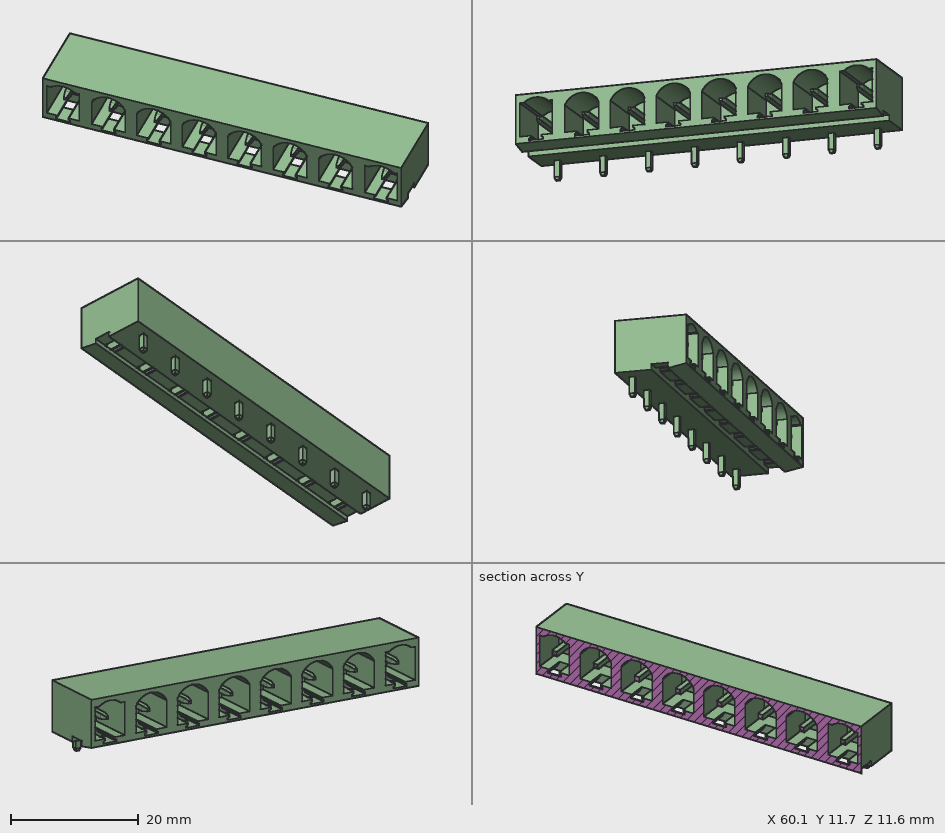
import cadquery as cq

LENGTH = 60.15
DEPTH = 11.7
HEIGHT = 8.5

POLES = 8
ROW_SPAN = 53.35
PITCH = ROW_SPAN / (POLES - 1)
POLE_X = [i * PITCH - ROW_SPAN / 2 for i in range(POLES)]

CHANNEL_FRONT = 3.0
CHANNEL_REAR = 5.7
CHANNEL_HEIGHT = 0.9
CHANNEL_TOP_Z = CHANNEL_HEIGHT - HEIGHT
LIP_RISE = 0.55

PIN_SIZE = 0.9
FRONT_TIP_LENGTH = 1.3
FRONT_TIP_INSET = 0.25
SOLDER_TIP_LENGTH = 0.5
SOLDER_TIP_INSET = 0.2
PIN_AXIS_Z = -3.8
PIN_AXIS_Y = 9.85
PIN_FRONT_Y = 0.85
PIN_BOTTOM_Z = -11.6

CAVITY_DEPTH = 8.4
CAVITY_HALF_WIDTH = 2.8
END_CAVITY_HALF_WIDTH = 2.7
CAVITY_FLOOR_Z = -6.85
ARCH_RADIUS = 3.1
END_CAVITY_SHOULDER_Z = -1.4

SLOT_TOP_WIDTH = 1.8
SLOT_BASE_WIDTH = 2.4
SLOT_NECK_HEIGHT = 0.25
SLOT_BASE_HEIGHT = 0.25


def block(x_min, x_max, z_min, z_max, depth):
    """Box that starts at the front face and reaches back by depth."""
    return (
        cq.Workplane("XY", origin=(x_min, 0, z_min))
        .box(x_max - x_min, depth, z_max - z_min, centered=False)
    )


def arch_cylinder(x):
    """Cylinder around the pin axis that forms the arched roof of a cavity."""
    return cq.Workplane("XZ").center(x, PIN_AXIS_Z).circle(ARCH_RADIUS).extrude(-CAVITY_DEPTH)


def middle_cavity(x):
    """Straight sides under an arched roof."""
    left = x - CAVITY_HALF_WIDTH
    right = x + CAVITY_HALF_WIDTH
    base = block(left, right, CAVITY_FLOOR_Z, PIN_AXIS_Z, CAVITY_DEPTH)
    crown = block(left, right, PIN_AXIS_Z, 0, CAVITY_DEPTH)
    return base.union(crown.intersect(arch_cylinder(x)))


def end_cavity(x):
    """Square-shouldered cavity with the arch rising above the shoulders."""
    left = x - END_CAVITY_HALF_WIDTH
    right = x + END_CAVITY_HALF_WIDTH
    base = block(left, right, CAVITY_FLOOR_Z, END_CAVITY_SHOULDER_Z, CAVITY_DEPTH)
    crown = block(left, right, END_CAVITY_SHOULDER_Z, 0, CAVITY_DEPTH)
    return base.union(crown.intersect(arch_cylinder(x)))


def floor_slot(x):
    """Slot from the front face to the channel's rear wall, flaring from a neck to a wider base."""
    top_half = SLOT_TOP_WIDTH / 2
    base_half = SLOT_BASE_WIDTH / 2
    flare_top_z = CAVITY_FLOOR_Z - SLOT_NECK_HEIGHT
    flare_bottom_z = CHANNEL_TOP_Z + SLOT_BASE_HEIGHT
    return (
        cq.Workplane("XZ")
        .polyline([
            (x - top_half, CAVITY_FLOOR_Z),
            (x + top_half, CAVITY_FLOOR_Z),
            (x + top_half, flare_top_z),
            (x + base_half, flare_bottom_z),
            (x + base_half, CHANNEL_TOP_Z),
            (x - base_half, CHANNEL_TOP_Z),
            (x - base_half, flare_bottom_z),
            (x - top_half, flare_top_z),
        ])
        .close()
        .extrude(-CHANNEL_REAR)
    )


def pin_leg(length, tip_length, tip_inset):
    """Square bar along +Z from the origin, ending in a tapered tip at the top."""
    shank_length = length - tip_length
    tip_size = PIN_SIZE - 2 * tip_inset
    shank = cq.Workplane("XY").rect(PIN_SIZE, PIN_SIZE).extrude(shank_length)
    tip = (
        cq.Workplane("XY").workplane(offset=shank_length).rect(PIN_SIZE, PIN_SIZE)
        .workplane(offset=tip_length).rect(tip_size, tip_size).loft(ruled=True)
    )
    return shank.union(tip)


def make_pin(x):
    """Right-angle pin: one leg forward into the cavity, one leg down."""
    corner = PIN_SIZE / 2
    forward = (
        pin_leg(PIN_AXIS_Y + corner - PIN_FRONT_Y, FRONT_TIP_LENGTH, FRONT_TIP_INSET)
        .rotate((0, 0, 0), (1, 0, 0), 90)
        .translate((x, PIN_AXIS_Y + corner, PIN_AXIS_Z))
    )
    down = (
        pin_leg(PIN_AXIS_Z + corner - PIN_BOTTOM_Z, SOLDER_TIP_LENGTH, SOLDER_TIP_INSET)
        .rotate((0, 0, 0), (1, 0, 0), 180)
        .translate((x, PIN_AXIS_Y, PIN_AXIS_Z + corner))
    )
    return forward.union(down)


def make_housing(pins):
    """Side profile along the row, with cavities, floor slots and fitted pin holes."""
    body = (
        cq.Workplane("YZ", origin=(-LENGTH / 2, 0, 0))
        .polyline([
            (0, 0),
            (DEPTH, 0),
            (DEPTH, -HEIGHT),
            (CHANNEL_REAR, -HEIGHT),
            (CHANNEL_REAR, CHANNEL_TOP_Z),
            (CHANNEL_FRONT, CHANNEL_TOP_Z),
            (CHANNEL_FRONT, -HEIGHT),
            (0, LIP_RISE - HEIGHT),
        ])
        .close()
        .extrude(LENGTH)
    )
    end_poles = (POLE_X[0], POLE_X[-1])
    for x in POLE_X:
        cavity = end_cavity(x) if x in end_poles else middle_cavity(x)
        body = body.cut(cavity).cut(floor_slot(x))
    for pin in pins:
        body = body.cut(pin)
    return body


pins = [make_pin(x) for x in POLE_X]
housing = make_housing(pins)

result = cq.Compound.makeCompound([housing.val(), *[pin.val() for pin in pins]])